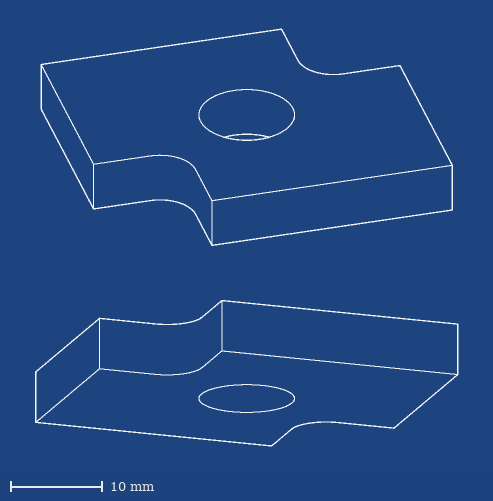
import cadquery as cq

length_x = 32.0
length_y = 37.59
thickness = 5.75

hole_diameter = 10.41

notch_x = 10.67
notch_y = 10.41
notch_fillet_radius = 4.0


def plate_outline():
    """Point-symmetric outline: each half turn adds one notch and one full corner."""
    outline = cq.Workplane("XY").moveTo(-length_x / 2, -length_y / 2)
    for side in (1, -1):
        step_x = side * (length_x / 2 - notch_x)
        step_y = -side * (length_y / 2 - notch_y)
        outline = (
            outline.lineTo(step_x, -side * length_y / 2)
            .lineTo(step_x, step_y - side * notch_fillet_radius)
            .radiusArc(
                (step_x + side * notch_fillet_radius, step_y),
                notch_fillet_radius,
            )
            .lineTo(side * length_x / 2, step_y)
            .lineTo(side * length_x / 2, side * length_y / 2)
        )
    return outline.close()


plate = plate_outline().extrude(thickness)
result = plate.faces(">Z").workplane(origin=(0, 0, thickness)).hole(hole_diameter)